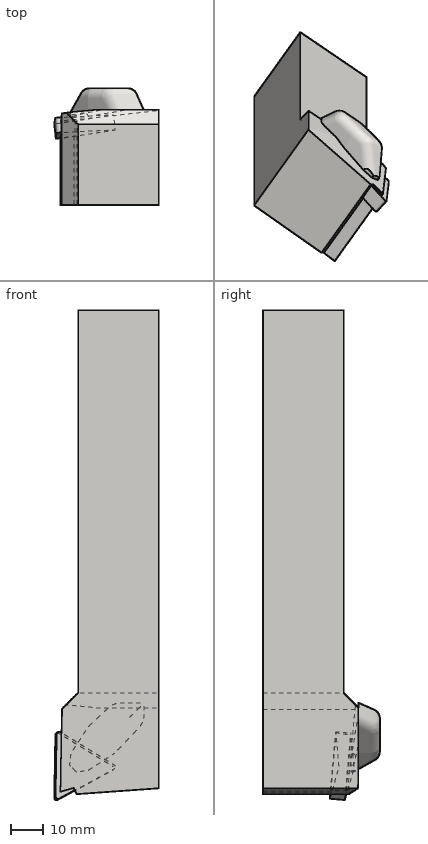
import cadquery as cq
import math


shank_side = 25.0
holder_top = 151.4
head_overhang = 5.0
head_lean = 0.5
head_height = 29.5
shoulder_z = 33.1
heel_z = 3.6
head_corner_z = 2.5
relief_peak = (-1.4, 3.8)
toe = (-0.5, 1.8)

insert_side = 22.0
insert_thickness = 4.7
nose_radius = 0.8
insert_corner = (-7.4, 25.1, -0.53)
tilt_along_x = math.tan(math.radians(6))
tilt_along_z = math.tan(math.radians(5))
edge_lean = math.tan(math.radians(1))

grind_offset = 0.5

clamp_top = 36.2
clamp_axis_offset = 11.5
clamp_back_x = 20.3
clamp_back_z = 30.1
clamp_side_back = (10.9, clamp_back_z)
clamp_side_front = (3.0, 22.7)
clamp_nose_side = (-2.3, 14.5)
clamp_nose_tip = (-2.9, 9.4)

clamp_slope_start = 27.0
clamp_draft = math.tan(math.radians(24))
clamp_corner_radius = 4.5
clamp_edge_radius = 3.2
nose_overrun = 0.3

reach = 121.1


def along_y(points, start, end):
    """Prism between two Y values whose outline is given as (X, Z) points."""
    outline = cq.Workplane("XZ", origin=(0, start, 0)).polyline(points).close()
    return outline.extrude(start - end)


def along_x(points):
    """Long prism along X whose outline is given as (Y, Z) points."""
    return cq.Workplane("YZ").polyline(points).close().extrude(reach, both=True)


def along_z(points):
    """Long prism along Z whose outline is given as (X, Y) points."""
    return cq.Workplane("XY").polyline(points).close().extrude(reach, both=True)


def tilted_plane(offset):
    """Plane parallel to the upper insert face; local x follows the cutting edge, local y heads to +X."""
    edge = cq.Vector(edge_lean, edge_lean * tilt_along_x + tilt_along_z, 1)
    normal = cq.Vector(-tilt_along_x, 1, -tilt_along_z)
    x, y, z = insert_corner
    return cq.Plane(origin=(x, y + offset, z), xDir=edge, normal=normal)



def make_insert():
    plane = tilted_plane(0)
    corners = [(0, 0), (insert_side, 0), (insert_side / 2, insert_side * math.sqrt(3) / 2)]
    plate = cq.Workplane(plane).polyline(corners).close().extrude(-insert_thickness)
    return plate.edges(cq.selectors.ParallelDirSelector(plane.zDir)).fillet(nose_radius)



def above_ground_face():
    """Everything above the tilted ground face of the head."""
    return cq.Workplane(tilted_plane(grind_offset)).rect(2 * reach, 2 * reach).extrude(reach)


def make_shank_and_head():
    outline = [
        (shank_side, holder_top),
        (0, holder_top),
        (0, shoulder_z),
        (-head_overhang, shoulder_z - head_overhang),
        (-head_overhang - head_lean, head_corner_z),
        relief_peak,
        toe,
        (shank_side, heel_z),
    ]
    body = along_y(outline, 0, head_height)

    head_step = head_height - shank_side
    shoulder_cut = [
        (shank_side, shoulder_z),
        (head_height, shoulder_z - head_step),
        (head_height, holder_top),
        (shank_side, holder_top),
    ]
    return body.cut(along_x(shoulder_cut)).cut(above_ground_face())



def across_axis(point):
    """Mirror an (X, Z) point in the clamp axis."""
    x, z = point
    return (z - clamp_axis_offset, x + clamp_axis_offset)


def run_on(start, end, share):
    """Point past `end` on the line from `start`, by a share of their distance."""
    return tuple(e + (e - s) * share for s, e in zip(start, end))


def clamp_outline(nose_points):
    """Plan of the clamp with the given nose points on its -X side and their mirror images."""
    one_side = [clamp_side_front] + nose_points
    other_side = [across_axis(point) for point in reversed(one_side)]
    x, z = across_axis(clamp_side_back)
    far_back = (clamp_back_x, z + clamp_back_x - x)
    return [(clamp_back_x, clamp_back_z), clamp_side_back] + one_side + other_side + [far_back]


def nose_slope_cut():
    """Wedge above the nose slope, which rises at 45 degrees along the clamp axis."""
    tip_x = (clamp_nose_tip[0] + across_axis(clamp_nose_tip)[0]) / 2
    axis_plane = cq.Plane(
        origin=(tip_x, 0, tip_x + clamp_axis_offset), xDir=(1, 0, 1), normal=(-1, 0, 1)
    )
    slope = [
        (-clamp_slope_start, 0),
        (clamp_top - clamp_slope_start, clamp_top),
        (-clamp_slope_start, clamp_top),
    ]
    return cq.Workplane(axis_plane).polyline(slope).close().extrude(reach, both=True)


def make_clamp():
    run_out = run_on(clamp_side_front, clamp_nose_side, nose_overrun)
    outline = clamp_outline([run_out])
    clamp = along_y(outline, 0, clamp_top).cut(nose_slope_cut())

    lean = (clamp_top - head_height) * clamp_draft
    z_wall = [
        (head_height, clamp_back_z),
        (clamp_top, clamp_back_z - lean),
        (clamp_top, clamp_back_z),
    ]
    x_wall = [
        (clamp_back_x, head_height),
        (clamp_back_x - lean, clamp_top),
        (clamp_back_x, clamp_top),
    ]
    clamp = clamp.cut(along_x(z_wall)).cut(along_z(x_wall))

    mid_height = (head_height + clamp_top) / 2
    for x, z in (clamp_side_back, outline[-1]):
        corner_middle = (x - lean / 2, mid_height, z - lean / 2)
        corner = cq.selectors.NearestToPointSelector(corner_middle)
        clamp = clamp.edges(corner).fillet(clamp_corner_radius)

    rim = clamp.faces(">Y").edges().vals()
    slope_normal = cq.Vector(-1, math.sqrt(2), -1)
    slope_face = clamp.faces(cq.selectors.DirectionSelector(slope_normal))
    slope_sides = slope_face.edges("not |(1, 0, -1)").vals()
    clamp = clamp.newObject(rim + slope_sides).fillet(clamp_edge_radius)

    clamp = clamp.intersect(along_y(clamp_outline([clamp_nose_side, clamp_nose_tip]), 0, clamp_top))
    below_flat = cq.Workplane("XZ", origin=(0, head_height, 0)).rect(2 * reach, 2 * reach).extrude(reach)
    return clamp.cut(below_flat.cut(above_ground_face()))


insert = make_insert()
holder = make_shank_and_head().union(make_clamp()).cut(insert)

result = cq.Compound.makeCompound([holder.solids().val(), insert.val()])